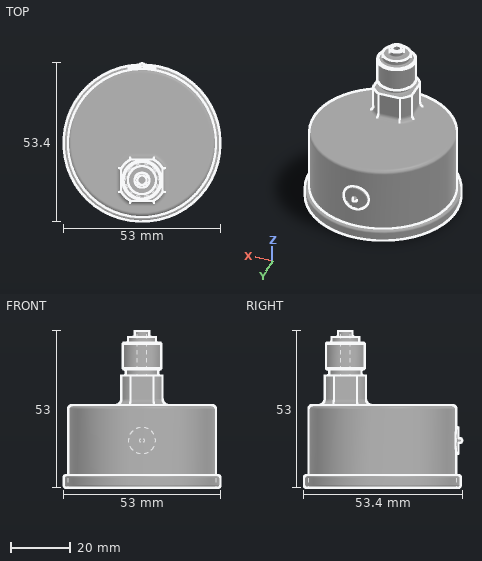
import cadquery as cq
import math

case_radius = 25.0
case_height = 28.0
case_edge_radius = 1.5

bezel_radius = 26.5
bezel_height = 4.4
bezel_edge_radius = 1.0

stem_y = -12.5
across_flats = 14.0
across_corners = 16.0
stem_root_radius = 2.0
wrench_top = 38.0

neck_radius = 5.5
neck_top = 40.0
neck_fillet = 0.5
thread_radius = 6.58
thread_top = 49.0
thread_chamfer = 0.4
pilot_radius = 4.75
pilot_top = 51.0
tip_radius = 2.5
tip_top = 53.0
step_fillet = 0.4
bore_radius = 1.6
bore_depth = 15.0

plug_z = 16.0
plug_radius = 4.5
plug_thickness = 0.75
plug_edge_radius = 0.5
nipple_radius = 0.8
nipple_tip_y = 26.94
nipple_root_fillet = 0.15


def make_case_shell():
    """Round body with a rounded back edge."""
    shell = cq.Workplane("XY").circle(case_radius).extrude(case_height)
    return shell.faces(">Z").edges().fillet(case_edge_radius)


def make_wrench_block():
    """Square block with its corners turned round, standing on the back of the case."""
    height = wrench_top - case_height
    base = cq.Workplane("XY").workplane(offset=case_height).center(0, stem_y)
    square = base.rect(across_flats, across_flats).extrude(height)
    turned = base.circle(across_corners / 2).extrude(height)
    return square.intersect(turned)


def add_root_arc(profile, radius, flat_z, size, upwards):
    """Add the concave quarter-round between a cylinder and the flat at flat_z.

    Upwards, the arc runs from the flat onto a cylinder standing on it;
    otherwise it runs from a cylinder out onto the flat above it.
    """
    inset = size * (1 - math.sqrt(0.5))
    if upwards:
        return profile.threePointArc((radius + inset, flat_z + inset), (radius, flat_z + size))
    return profile.threePointArc((radius + inset, flat_z - inset), (radius + size, flat_z))


def make_turned_end():
    """Neck, threaded length, pilot and tip as one revolved profile."""
    neck_root = neck_radius + neck_fillet
    pilot_root = pilot_radius + step_fillet
    tip_root = tip_radius + step_fillet

    profile = cq.Workplane("XZ").moveTo(0, wrench_top).lineTo(neck_root, wrench_top)
    profile = add_root_arc(profile, neck_radius, wrench_top, neck_fillet, True)
    profile = profile.lineTo(neck_radius, neck_top - neck_fillet)
    profile = add_root_arc(profile, neck_radius, neck_top, neck_fillet, False)
    profile = (
        profile.lineTo(thread_radius - thread_chamfer, neck_top)
        .lineTo(thread_radius, neck_top + thread_chamfer)
        .lineTo(thread_radius, thread_top - thread_chamfer)
        .lineTo(thread_radius - thread_chamfer, thread_top)
        .lineTo(pilot_root, thread_top)
    )
    profile = add_root_arc(profile, pilot_radius, thread_top, step_fillet, True)
    profile = profile.lineTo(pilot_radius, pilot_top).lineTo(tip_root, pilot_top)
    profile = add_root_arc(profile, tip_radius, pilot_top, step_fillet, True)
    profile = profile.lineTo(tip_radius, tip_top).lineTo(0, tip_top).close()
    end = profile.revolve(360, (0, 0, 0), (0, 1, 0))
    return end.translate((0, stem_y, 0))


def round_stem_root(body):
    """Concave fillet all round the foot of the wrench block."""
    reach = across_corners / 2
    margin = 0.01
    foot = cq.selectors.BoxSelector(
        (-reach, stem_y - reach, case_height - margin),
        (reach, stem_y + reach, case_height + margin),
    )
    return body.edges(foot).fillet(stem_root_radius)


def make_plug():
    """Round vent plug curved to the case wall, with a round-ended nipple pointing along +Y."""
    axis_plane = cq.Workplane(cq.Plane(origin=(0, 0, plug_z), xDir=(1, 0, 0), normal=(0, 1, 0)))
    plug_outer_radius = case_radius + plug_thickness
    outer_cylinder = cq.Workplane("XY").circle(plug_outer_radius).extrude(case_height)
    case_cylinder = cq.Workplane("XY").circle(case_radius).extrude(case_height)
    flange = axis_plane.circle(plug_radius).extrude(plug_outer_radius).intersect(outer_cylinder)
    flange = flange.faces(">Y").edges().fillet(plug_edge_radius)

    dome_centre_y = nipple_tip_y - nipple_radius
    nipple = axis_plane.circle(nipple_radius).extrude(dome_centre_y)
    plug = flange.union(nipple)
    reach = nipple_radius + nipple_root_fillet
    nipple_root = cq.selectors.BoxSelector(
        (-reach, case_radius, plug_z - reach),
        (reach, (plug_outer_radius + dome_centre_y) / 2, plug_z + reach),
    )
    plug = plug.edges(nipple_root).edges("not #Y").fillet(nipple_root_fillet)
    dome = cq.Workplane("XY").sphere(nipple_radius).translate((0, dome_centre_y, plug_z))
    return plug.union(dome).cut(case_cylinder)


def make_case():
    """Case with its integral stem, bored through the tip."""
    body = round_stem_root(make_case_shell().union(make_wrench_block()))
    body = body.union(make_turned_end())
    bore = (
        cq.Workplane("XY")
        .workplane(offset=tip_top - bore_depth)
        .center(0, stem_y)
        .circle(bore_radius)
        .extrude(bore_depth)
    )
    return body.cut(bore)


def make_bezel():
    """Ring with rounded outer edges, fitted round the case."""
    disc = cq.Workplane("XY").circle(bezel_radius).extrude(bezel_height)
    disc = disc.edges("%CIRCLE").fillet(bezel_edge_radius)
    opening = cq.Workplane("XY").circle(case_radius).extrude(bezel_height)
    return disc.cut(opening)


case = make_case()
bezel = make_bezel()
vent_plug = make_plug()

result = cq.Compound.makeCompound([case.val(), bezel.val(), vent_plug.val()])